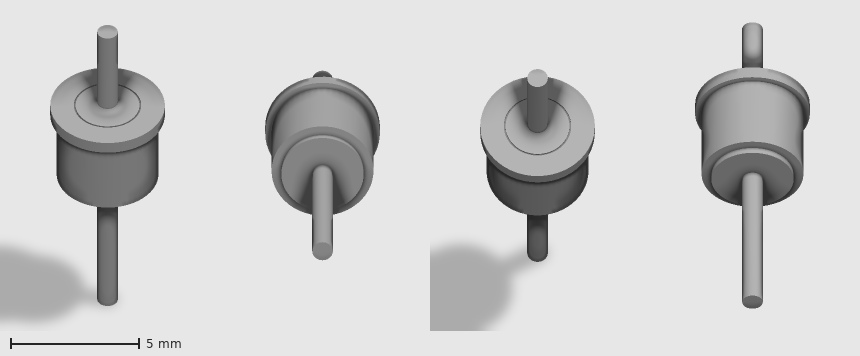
import cadquery as cq
import math

total_length = 13.84
upper_pin_length = 3.8
flange_thickness = 0.5
body_length = 3.06
step_thickness = 0.25

pin_diameter = 0.8
flange_diameter = 4.47
body_diameter = 3.97
step_diameter = 3.21

collar_diameter = 1.48
collar_height = 0.17

groove_outer_diameter = 2.63
groove_width = 0.07
groove_depth = 0.07

flange_top = total_length - upper_pin_length
body_top = flange_top - flange_thickness
body_bottom = body_top - body_length
step_bottom = body_bottom - step_thickness


def cylinder(diameter, bottom, top):
    """Upright cylinder on the Z axis."""
    return cq.Workplane("XY").workplane(offset=bottom).circle(diameter / 2).extrude(top - bottom)


def concave_collar():
    """Flared collar whose arc runs out tangent to the flange face."""
    pin_radius = pin_diameter / 2
    collar_radius = collar_diameter / 2
    flare_width = collar_radius - pin_radius
    arc_radius = (flare_width**2 + collar_height**2) / (2 * collar_height)
    half_angle = math.asin(flare_width / arc_radius) / 2
    arc_middle = (
        collar_radius - arc_radius * math.sin(half_angle),
        flange_top + arc_radius * (1 - math.cos(half_angle)),
    )
    return (
        cq.Workplane("XZ")
        .moveTo(0, body_top)
        .lineTo(collar_radius, body_top)
        .lineTo(collar_radius, flange_top)
        .threePointArc(arc_middle, (pin_radius, flange_top + collar_height))
        .lineTo(0, flange_top + collar_height)
        .close()
        .revolve(360, (0, 0), (0, 1))
    )


def ring_groove():
    """Ring of material to remove from the top face."""
    groove_bottom = flange_top - groove_depth
    groove_inner_diameter = groove_outer_diameter - 2 * groove_width
    outer = cylinder(groove_outer_diameter, groove_bottom, flange_top)
    return outer.cut(cylinder(groove_inner_diameter, groove_bottom, flange_top))


flange = cylinder(flange_diameter, body_top, flange_top)
body = cylinder(body_diameter, body_bottom, body_top)
step = cylinder(step_diameter, step_bottom, body_bottom)
pin = cylinder(pin_diameter, 0, total_length)

result = flange.union(body).union(step).union(pin).union(concave_collar()).cut(ring_groove())